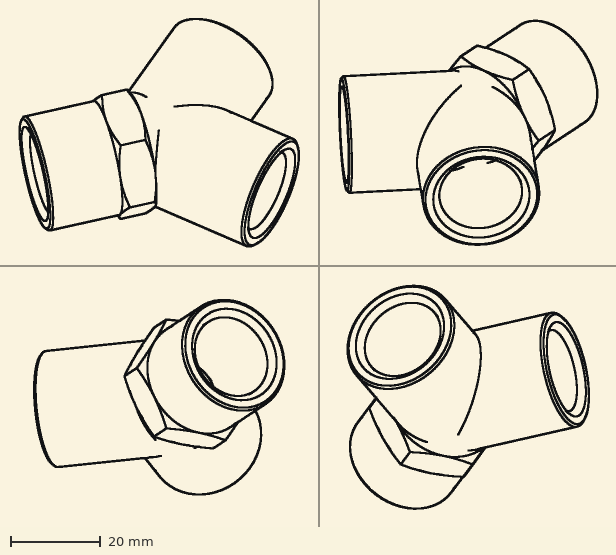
import cadquery as cq
import math

pipe_diameter = 26.0
bore_diameter = 18.5
mouth_diameter = 21.5
mouth_depth = 1.5
end_chamfer = 0.5
overall_width = 57.3
overall_length = 57.95
branch_angle = 45

tilt = math.radians(branch_angle)
branch_reach = overall_width / 2
rim_radius = pipe_diameter / 2 - end_chamfer
branch_length = (branch_reach - rim_radius * math.cos(tilt)) / math.sin(tilt)
stem_length = overall_length - branch_reach

hex_start = 16.5
hex_width = 8.05
hex_across_corners = pipe_diameter / math.cos(math.pi / 6)
hex_bevel_angle = math.radians(30)


def pipe_plane(angle):
    """Plane at the origin whose normal points along a pipe axis, turned from +Y toward +X."""
    turn = math.radians(angle)
    return cq.Plane(origin=(0, 0, 0), xDir=(0, 0, 1), normal=(math.sin(turn), math.cos(turn), 0))


def pipe_body(angle, length):
    """Cylinder from the junction, chamfered around its open end."""
    plane = pipe_plane(angle)
    body = cq.Workplane(plane).circle(pipe_diameter / 2).extrude(length)
    return body.faces(cq.selectors.DirectionMinMaxSelector(plane.zDir)).chamfer(end_chamfer)


def pipe_bore(angle, length):
    """Bore from the junction to the open end, widening into a conical mouth."""
    profile = (
        cq.Workplane("XY")
        .moveTo(0, 0)
        .lineTo(bore_diameter / 2, 0)
        .lineTo(bore_diameter / 2, length - mouth_depth)
        .lineTo(mouth_diameter / 2, length)
        .lineTo(0, length)
        .close()
    )
    return profile.revolve(360, (0, 0), (0, 1)).rotate((0, 0, 0), (0, 0, 1), -angle)


def wrench_hexagon():
    """Hexagon with both corner rings bevelled by cones that start at the flats."""
    corner_radius = hex_across_corners / 2
    flat_radius = pipe_diameter / 2
    bevel_height = (corner_radius - flat_radius) * math.tan(hex_bevel_angle)
    y_low = hex_start - stem_length
    y_high = y_low + hex_width
    hexagon = (
        cq.Workplane("XZ", origin=(0, y_high, 0))
        .polygon(6, hex_across_corners)
        .extrude(hex_width)
    )
    envelope = (
        cq.Workplane("XY")
        .moveTo(0, y_low)
        .lineTo(flat_radius, y_low)
        .lineTo(corner_radius, y_low + bevel_height)
        .lineTo(corner_radius, y_high - bevel_height)
        .lineTo(flat_radius, y_high)
        .lineTo(0, y_high)
        .close()
        .revolve(360, (0, 0), (0, 1))
    )
    return hexagon.intersect(envelope)


pipes = [(180, stem_length), (branch_angle, branch_length), (-branch_angle, branch_length)]

result = wrench_hexagon()
for angle, length in pipes:
    result = result.union(pipe_body(angle, length))
for angle, length in pipes:
    result = result.cut(pipe_bore(angle, length))